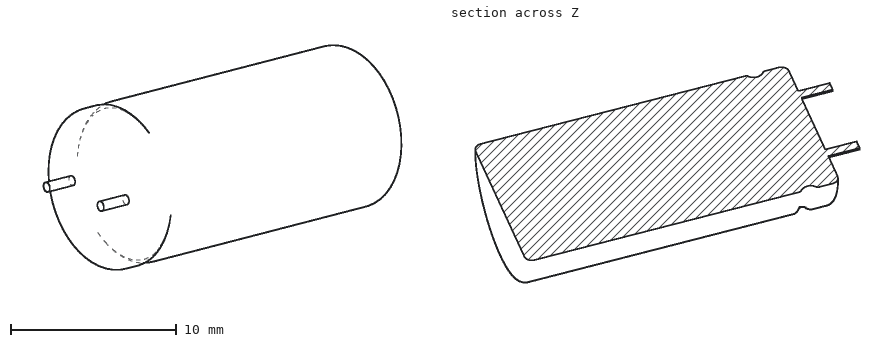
import cadquery as cq
import math


can_diameter = 10.0
can_length = 20.0
rim_radius = 0.5

groove_position = 2.0
groove_depth = 0.3
groove_radius = 0.6
groove_lip_radius = 0.2

lead_diameter = 0.6
lead_pitch = 5.0
lead_length = 2.0

can_radius = can_diameter / 2
diagonal_share = math.sqrt(0.5)


def along_arc(center, radius, angle):
    """Point (axial, radial) on a circle, with the angle measured from +Y towards the outside."""
    return (center[0] + radius * math.cos(angle), center[1] + radius * math.sin(angle))


def make_can():
    """Half section of the can, revolved around Y; profile points are (axial, radial)."""
    rim_inset = rim_radius * (1 - diagonal_share)
    face_radius = can_radius - rim_radius

    groove_floor = can_radius - groove_depth
    groove_center = (groove_position, groove_floor + groove_radius)
    lip_center_radius = can_radius - groove_lip_radius
    center_distance = groove_radius + groove_lip_radius
    radial_offset = groove_center[1] - lip_center_radius
    lip_offset = math.sqrt(center_distance**2 - radial_offset**2)
    contact_angle = math.atan2(radial_offset, lip_offset)

    near_lip = (groove_position - lip_offset, lip_center_radius)
    far_lip = (groove_position + lip_offset, lip_center_radius)

    half_turn = math.pi
    lip_middle = (contact_angle + half_turn / 2) / 2

    profile = (
        cq.Workplane("YZ")
        .moveTo(0, 0)
        .lineTo(0, face_radius)
        .threePointArc((rim_inset, can_radius - rim_inset), (rim_radius, can_radius))
        .lineTo(near_lip[0], can_radius)
        .threePointArc(
            along_arc(near_lip, groove_lip_radius, lip_middle),
            along_arc(near_lip, groove_lip_radius, contact_angle),
        )
        .threePointArc(
            (groove_position, groove_floor),
            along_arc(far_lip, groove_lip_radius, half_turn - contact_angle),
        )
        .threePointArc(
            along_arc(far_lip, groove_lip_radius, half_turn - lip_middle),
            (far_lip[0], can_radius),
        )
        .lineTo(can_length - rim_radius, can_radius)
        .threePointArc(
            (can_length - rim_inset, can_radius - rim_inset),
            (can_length, face_radius),
        )
        .lineTo(can_length, 0)
        .close()
    )
    return profile.revolve(360, (0, 0), (1, 0))


def make_leads():
    """Two round leads standing on the base face; the XZ workplane normal is -Y."""
    return (
        cq.Workplane("XZ")
        .pushPoints([(-lead_pitch / 2, 0), (lead_pitch / 2, 0)])
        .circle(lead_diameter / 2)
        .extrude(lead_length)
    )


result = make_can().union(make_leads())